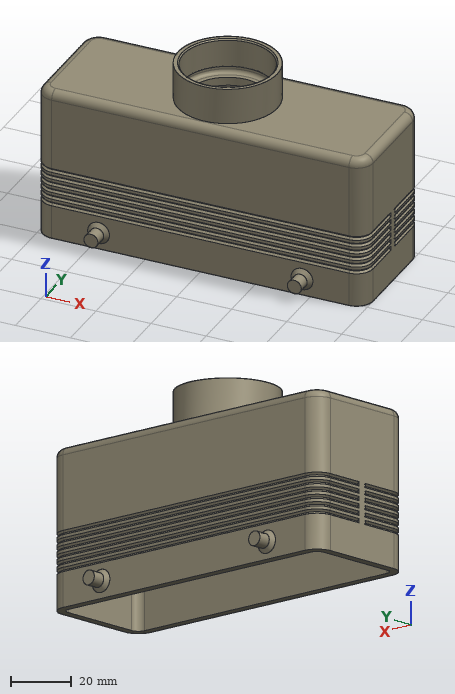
import cadquery as cq

length = 120.0
width = 43.0
height = 55.1
corner_radius = 6.0
top_fillet = 3.0
wall = 3.0

collar_height = 13.0
collar_radius = 18.0
bore_radius = 16.1
relief_radius = 16.5
bore_depth = 10.3
relief_fillet = 1.5
entry_hole_radius = 13.5

groove_count = 6
groove_pitch = 2.5
groove_height = 1.5
groove_depth = groove_height / 2
groove_angle = 45
first_groove_z = 12.2
groove_gap = 3.1

pin_spacing = 73.9
pin_z = 6.0
pin_radius = 2.5
pin_length = 6.0
pin_base_height = 1.5


def rounded_plan(z, inset=0.0):
    """Body plan outline at height z, moved inward by inset."""
    return (
        cq.Sketch()
        .rect(length - 2 * inset, width - 2 * inset)
        .vertices()
        .fillet(corner_radius - inset)
        .moved(cq.Location(cq.Vector(0, 0, z)))
    )


def prism(z, prism_height, inset=0.0, taper=0):
    """Solid rising from height z with the body plan; taper is its draft angle in degrees."""
    outline = rounded_plan(z, inset)
    return cq.Workplane("XY").placeSketch(outline).extrude(prism_height, taper=taper)


def groove(z):
    """V-shaped ring cutter with its lower edge at height z, interrupted on both short sides."""
    mid_z = z + groove_depth
    lower_core = prism(z, groove_depth, taper=groove_angle)
    upper_core = lower_core.mirror("XY", (0, 0, mid_z))
    gap = cq.Workplane("XY").box(length, groove_gap, groove_height).translate((0, 0, mid_z))
    return prism(z, groove_height).cut(lower_core).cut(upper_core).cut(gap)


def pin(x, side):
    """Round pin with a conical base; side is -1 or 1 along Y."""
    root_y = width / 2 - wall / 2
    face_y = width / 2
    base_radius = pin_radius + pin_base_height
    half_profile = (
        cq.Workplane("XY")
        .moveTo(0, root_y)
        .lineTo(base_radius, root_y)
        .lineTo(base_radius, face_y)
        .lineTo(pin_radius, face_y + pin_base_height)
        .lineTo(pin_radius, face_y + pin_length)
        .lineTo(0, face_y + pin_length)
        .close()
    )
    solid = half_profile.revolve(360, (0, 0, 0), (0, 1, 0))
    if side < 0:
        solid = solid.mirror("XZ")
    return solid.translate((x, 0, pin_z))


def entry_cutter():
    """Stepped opening: chamfered bore, wider relief with a rounded floor, then the entry hole."""
    rim_z = height + collar_height
    floor_z = height
    hole_bottom_z = height - 2 * wall
    rim_chamfer = relief_radius - bore_radius
    return (
        cq.Workplane("XZ")
        .moveTo(0, hole_bottom_z)
        .lineTo(entry_hole_radius, hole_bottom_z)
        .lineTo(entry_hole_radius, floor_z)
        .lineTo(relief_radius - relief_fillet, floor_z)
        .radiusArc((relief_radius, floor_z + relief_fillet), -relief_fillet)
        .lineTo(relief_radius, rim_z - bore_depth)
        .lineTo(bore_radius, rim_z - bore_depth)
        .lineTo(bore_radius, rim_z - rim_chamfer)
        .lineTo(relief_radius, rim_z)
        .lineTo(0, rim_z)
        .close()
        .revolve(360, (0, 0, 0), (0, 1, 0))
    )


hood = prism(0, height).faces(">Z").edges().fillet(top_fillet)
collar_base = cq.Workplane("XY").workplane(offset=height - wall)
collar = collar_base.circle(collar_radius).extrude(wall + collar_height)
hood = hood.union(collar)

hood = hood.cut(prism(0, height - wall, inset=wall))
hood = hood.cut(entry_cutter())

for index in range(groove_count):
    hood = hood.cut(groove(first_groove_z + index * groove_pitch))

for x in (-pin_spacing / 2, pin_spacing / 2):
    for side in (-1, 1):
        hood = hood.union(pin(x, side))

result = hood